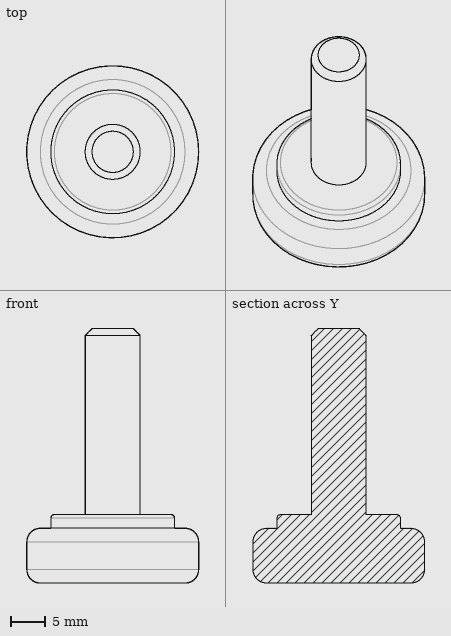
import cadquery as cq

total_height = 37.0
head_diameter = 25.0
head_height = 8.0
head_edge_radius = 2.0
collar_diameter = 18.0
collar_height = 2.0
collar_edge_radius = 0.5
stud_diameter = 8.0
stud_chamfer = 1.0

collar_base = head_height
stud_base = collar_base + collar_height
stud_length = total_height - stud_base


def disc(diameter, height, base):
    """Solid cylinder on the Z axis, standing on the height `base`."""
    return cq.Workplane("XY").workplane(offset=base).circle(diameter / 2).extrude(height)


head = disc(head_diameter, head_height, 0).edges().fillet(head_edge_radius)

collar = disc(collar_diameter, collar_height, collar_base)
collar = collar.faces(">Z").edges().fillet(collar_edge_radius)

stud = disc(stud_diameter, stud_length, stud_base)
stud = stud.faces(">Z").edges().chamfer(stud_chamfer)

result = head.union(collar).union(stud)